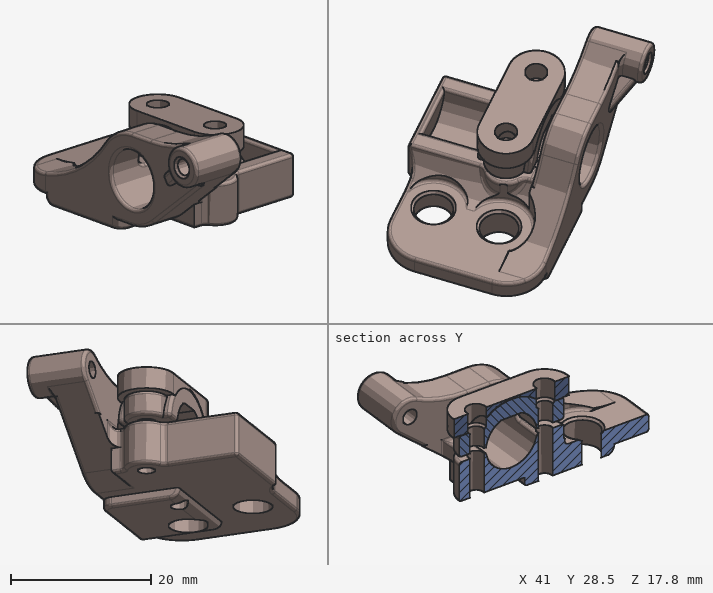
import cadquery as cq
import math


BORE_RADIUS = 4.4
SEAT_RADIUS = 7.0
SPLIT_GAP = 0.8
BOLT_OFFSET = 6.0
BOLT_BOSS_RADIUS = 3.2
BOLT_HOLE_DIAMETER = 2.5
BOLT_RIM_DIAMETER = 3.2
CAP_WIDTH = 8.2
CAP_SHOULDER = 4.0
LINK_THICKNESS = 3.2
EDGE_ROUND = 0.5
SPLIT_HALF = SPLIT_GAP / 2
BOLT_XS = (-BOLT_OFFSET, BOLT_OFFSET)

FOOT_LEFT = -24.03
FOOT_BACK = 13.05
FOOT_TOP = -4.0
FOOT_BOTTOM = -SEAT_RADIUS
FOOT_CORNER = 6.0
ARM_FRONT = -10.7
ARM_BACK = -5.0
ARM_SWEEP = 20.0
ARM_FLAT_END = 3.95
SADDLE_BACK = 14.5
SADDLE_END_WALL = 1.15
SADDLE_SWEEP = 6.0
FLARE_RADIUS = 4.0
INNER_ROUND = 1.0
GUSSET_ROUND = 1.5

PIVOT_X = 14.0
PIVOT_Z = 6.3
PIVOT_RADIUS = 3.0
PIVOT_FRONT = -14.0
PIVOT_HOLE_DIAMETER = 2.4
PIVOT_RIM_DIAMETER = 3.2

RIB_START = 8.2
RIB_END = 2.05
RIB_SLOPE = 0.45
RIB_WIDTH = 2.0
RIB_TILT = 34.0

MOUNT_X = -14.0
MOUNT_YS = (-2.0, 8.0)
MOUNT_HOLE_DIAMETER = 5.6
MOUNT_RIM_DIAMETER = 6.4
SPOTFACE_DIAMETER = 10.25

PAD_LEFT = -18.05
PAD_RIGHT = -2.3
PAD_BACK = 1.45
PAD_BOTTOM = -8.5
PAD_CORNER = 1.75


def y_cylinder(radius, y_start, y_end, x=0.0, z=0.0):
    """Cylinder along Y."""
    return cq.Workplane("XZ", origin=(x, y_start, z)).circle(radius).extrude(y_start - y_end)


def z_cylinder(radius, z_start, z_end, x, y):
    """Upright cylinder."""
    return cq.Workplane("XY", origin=(x, y, z_start)).circle(radius).extrude(z_end - z_start)


def box(x_range, y_range, z_range):
    """Block between two limits on each axis."""
    low, high = zip(x_range, y_range, z_range)
    size = [b - a for a, b in zip(low, high)]
    return cq.Workplane("XY").box(*size, centered=False).translate(low)


def on_circle(center, radius, angle):
    return (center[0] + radius * math.cos(angle), center[1] + radius * math.sin(angle))


def arm_blank():
    """Upright arm: housing around the bore, swept down to the foot and up to the pivot."""
    pivot = (PIVOT_X, PIVOT_Z)
    axis = (0.0, 0.0)

    pivot_angle = math.atan2(PIVOT_Z, PIVOT_X)
    pivot_distance = math.hypot(PIVOT_X, PIVOT_Z)
    under = pivot_angle - math.acos((SEAT_RADIUS - PIVOT_RADIUS) / pivot_distance)

    left_center_z = FOOT_TOP + ARM_SWEEP
    left_center_x = -math.sqrt((SEAT_RADIUS + ARM_SWEEP) ** 2 - left_center_z ** 2)
    left_center = (left_center_x, left_center_z)
    crest_left = math.atan2(left_center_z, left_center_x)
    left_mid = (crest_left - math.pi - math.pi / 2) / 2

    right_center = (ARM_FLAT_END, SEAT_RADIUS + ARM_SWEEP)
    to_pivot = math.atan2(PIVOT_Z - right_center[1], PIVOT_X - right_center[0])
    right_mid = (to_pivot - math.pi / 2) / 2

    profile = (
        cq.Workplane("XZ", origin=(0, ARM_BACK, 0))
        .moveTo(FOOT_LEFT, FOOT_BOTTOM)
        .lineTo(0, FOOT_BOTTOM)
        .threePointArc(on_circle(axis, SEAT_RADIUS, (under - math.pi / 2) / 2),
                       on_circle(axis, SEAT_RADIUS, under))
        .lineTo(*on_circle(pivot, PIVOT_RADIUS, under))
        .threePointArc(on_circle(pivot, PIVOT_RADIUS, pivot_angle),
                       on_circle(pivot, PIVOT_RADIUS, to_pivot + math.pi))
        .threePointArc(on_circle(right_center, ARM_SWEEP, right_mid),
                       (ARM_FLAT_END, SEAT_RADIUS))
        .lineTo(0, SEAT_RADIUS)
        .threePointArc(on_circle(axis, SEAT_RADIUS, (crest_left + math.pi / 2) / 2),
                       on_circle(axis, SEAT_RADIUS, crest_left))
        .threePointArc(on_circle(left_center, ARM_SWEEP, left_mid), (left_center_x, FOOT_TOP))
        .lineTo(FOOT_LEFT, FOOT_TOP)
        .close()
    )
    return profile.extrude(ARM_BACK - ARM_FRONT)


def foot_outline(z_start, z_end, right):
    """Foot plate seen from above, with rounded left corners."""
    blank = box((FOOT_LEFT, right), (ARM_FRONT, FOOT_BACK), (z_start, z_end))
    return blank.edges("|Z and <X").fillet(FOOT_CORNER)


def saddle_blank():
    """Half housing below the bore, with a hollow flank and flare towards the foot."""
    half = SEAT_RADIUS
    flank_run = math.sqrt(SADDLE_SWEEP ** 2 - (SADDLE_SWEEP + FOOT_TOP + SPLIT_HALF) ** 2)
    flank_start = -half - flank_run
    flank_middle_x = -half - flank_run / 2
    flank_middle_z = FOOT_TOP + SADDLE_SWEEP - math.sqrt(SADDLE_SWEEP ** 2 - (flank_run / 2) ** 2)
    section = (
        cq.Workplane("XZ", origin=(0, SADDLE_BACK, 0))
        .moveTo(flank_start, FOOT_BOTTOM)
        .lineTo(half, FOOT_BOTTOM)
        .lineTo(half, -SPLIT_HALF)
        .lineTo(-half, -SPLIT_HALF)
        .threePointArc((flank_middle_x, flank_middle_z), (flank_start, FOOT_TOP))
        .close()
        .extrude(SADDLE_BACK - ARM_BACK)
    )

    step = SADDLE_BACK - FOOT_BACK
    flare_run = math.sqrt(FLARE_RADIUS ** 2 - (FLARE_RADIUS - step) ** 2)
    flare_middle_y = FOOT_BACK + FLARE_RADIUS - math.sqrt(FLARE_RADIUS ** 2 - (flare_run / 2) ** 2)
    plan = (
        cq.Workplane("XY", origin=(0, 0, FOOT_BOTTOM))
        .moveTo(flank_start, ARM_BACK)
        .lineTo(half, ARM_BACK)
        .lineTo(half, SADDLE_BACK)
        .lineTo(-half, SADDLE_BACK)
        .threePointArc((-half - flare_run / 2, flare_middle_y), (-half - flare_run, FOOT_BACK))
        .lineTo(flank_start, FOOT_BACK)
        .close()
        .extrude(-SPLIT_HALF - FOOT_BOTTOM)
    )
    return section.intersect(plan).edges("|Z and >X and >Y").fillet(EDGE_ROUND)


def nearest(body, *points):
    """Edges whose centres lie nearest to the given points."""
    edges = [body.edges(cq.selectors.NearestToPointSelector(point)).val() for point in points]
    return body.newObject(edges)


def bracket_core():
    """Foot, arm, saddle and bolt bosses as one rounded blank."""
    outline = foot_outline(FOOT_BOTTOM, PIVOT_Z + PIVOT_RADIUS, PIVOT_X + PIVOT_RADIUS)
    core = arm_blank().intersect(outline)
    core = core.union(foot_outline(FOOT_BOTTOM, FOOT_TOP, 0)).union(saddle_blank())
    for x in BOLT_XS:
        core = core.union(z_cylinder(BOLT_BOSS_RADIUS, FOOT_BOTTOM, -SPLIT_HALF, x, 0))
    core = core.clean()

    boss_y = math.sqrt(BOLT_BOSS_RADIUS ** 2 - (SEAT_RADIUS - BOLT_OFFSET) ** 2)
    mid_z = (FOOT_BOTTOM - SPLIT_HALF) / 2
    core = nearest(core, (SEAT_RADIUS, ARM_BACK, mid_z / 2)).fillet(GUSSET_ROUND)
    core = nearest(core, (SEAT_RADIUS, -boss_y, mid_z), (SEAT_RADIUS, boss_y, mid_z)).fillet(INNER_ROUND)
    core = nearest(core, (-BOLT_OFFSET - BOLT_BOSS_RADIUS, 0, FOOT_TOP / 2)).fillet(INNER_ROUND)
    core = nearest(core, (0, ARM_BACK, -SPLIT_HALF)).fillet(INNER_ROUND)

    top = core.faces(cq.selectors.NearestToPointSelector((0, SADDLE_BACK / 3, -SPLIT_HALF)))
    core = top.edges("not <Y").fillet(EDGE_ROUND)
    return core.faces("<Z").edges().fillet(EDGE_ROUND)


def arm_back_trim():
    """Material outside the rounded back edge of the arm, above the saddle."""
    blank = arm_blank()
    rounded = blank.faces(">Y").edges().fillet(EDGE_ROUND)
    above = box((FOOT_LEFT, PIVOT_X + PIVOT_RADIUS), (ARM_FRONT, ARM_BACK),
                (INNER_ROUND - SPLIT_HALF, PIVOT_Z + PIVOT_RADIUS))
    return blank.cut(rounded).intersect(above)


def spotface(y):
    """Round clearance above a mounting hole, with a hollow corner at its floor."""
    tool = z_cylinder(SPOTFACE_DIAMETER / 2, FOOT_TOP, SEAT_RADIUS, MOUNT_X, y)
    return tool.faces("<Z").edges().fillet(EDGE_ROUND)


def make_pad():
    """Raised pad under the front of the foot."""
    drop = FOOT_BOTTOM - PAD_BOTTOM
    pad = box((PAD_LEFT, PAD_RIGHT), (ARM_FRONT, PAD_BACK), (PAD_BOTTOM, FOOT_BOTTOM + EDGE_ROUND))
    pad = pad.edges("|Z and >X and <Y").fillet(PAD_CORNER)
    pad = pad.faces("<Z").edges("<X or >Y").fillet(drop)
    return pad.faces("<Z").edges("<Y").fillet(EDGE_ROUND)


def pivot_boss():
    """Round boss at the tip of the arm, with a hollow corner where it leaves the arm."""
    boss = y_cylinder(PIVOT_RADIUS, ARM_BACK - INNER_ROUND, PIVOT_FRONT, PIVOT_X, PIVOT_Z)
    boss = boss.faces("<Y").edges().fillet(EDGE_ROUND)
    collar_radius = PIVOT_RADIUS + EDGE_ROUND
    collar = y_cylinder(collar_radius, ARM_FRONT + EDGE_ROUND, ARM_FRONT - EDGE_ROUND, PIVOT_X, PIVOT_Z)
    groove = (
        cq.Workplane("XY")
        .moveTo(collar_radius, -EDGE_ROUND)
        .circle(EDGE_ROUND)
        .revolve(360, (0, 0), (0, 1))
        .translate((PIVOT_X, ARM_FRONT, PIVOT_Z))
    )
    collar = collar.cut(groove).intersect(arm_blank().translate((0, -EDGE_ROUND, 0)))
    return boss.union(collar)


def pivot_rib():
    """Sloping rib from the front of the arm up the side of the pivot boss."""
    rise = RIB_SLOPE * (RIB_START - RIB_END)
    rib = (
        cq.Workplane("XY")
        .moveTo(-RIB_START, EDGE_ROUND)
        .lineTo(-RIB_START, 0)
        .lineTo(-RIB_END, -rise)
        .lineTo(-RIB_END, EDGE_ROUND)
        .close()
        .extrude(RIB_WIDTH / 2, both=True)
    )
    rib = rib.edges(cq.selectors.BoxSelector((-RIB_START, -rise, -RIB_WIDTH), (-RIB_END, -EDGE_ROUND, RIB_WIDTH)))
    rib = rib.edges("not |Z").fillet(EDGE_ROUND)
    return rib.rotate((0, 0, 0), (0, 1, 0), -RIB_TILT).translate((PIVOT_X, ARM_FRONT, PIVOT_Z))


def rimmed_hole(diameter, rim_diameter, depth):
    """Cutter that goes down from the origin along Z, with a conical rim at its top."""
    rim = (rim_diameter - diameter) / 2
    hole = cq.Workplane("XY").circle(diameter / 2).extrude(-depth)
    cone = cq.Workplane("XY").circle(rim_diameter / 2).workplane(offset=-rim).circle(diameter / 2).loft()
    return hole.union(cone)


def make_bracket():
    bracket = bracket_core().cut(arm_back_trim())
    for y in MOUNT_YS:
        bracket = bracket.cut(spotface(y))
    bracket = bracket.union(make_pad()).union(pivot_boss()).union(pivot_rib())

    bore_end = SADDLE_BACK - SADDLE_END_WALL
    bracket = bracket.cut(y_cylinder(BORE_RADIUS, bore_end, ARM_FRONT))
    bracket = nearest(bracket, (0, ARM_FRONT, 0)).fillet(EDGE_ROUND)
    bracket = nearest(bracket, (BORE_RADIUS, bore_end / 3, -SPLIT_HALF), (-BORE_RADIUS, bore_end / 3, -SPLIT_HALF),
                      (0, bore_end, -SPLIT_HALF)).fillet(EDGE_ROUND)

    for x in BOLT_XS:
        bracket = bracket.cut(z_cylinder(BOLT_HOLE_DIAMETER / 2, PAD_BOTTOM, -SPLIT_HALF, x, 0))
    for y in MOUNT_YS:
        hole = rimmed_hole(MOUNT_HOLE_DIAMETER, MOUNT_RIM_DIAMETER, FOOT_TOP - PAD_BOTTOM)
        bracket = bracket.cut(hole.translate((MOUNT_X, y, FOOT_TOP)))
    pivot_hole = rimmed_hole(PIVOT_HOLE_DIAMETER, PIVOT_RIM_DIAMETER, ARM_BACK - PIVOT_FRONT)
    pivot_hole = pivot_hole.rotate((0, 0, 0), (1, 0, 0), 90)
    return bracket.cut(pivot_hole.translate((PIVOT_X, PIVOT_FRONT, PIVOT_Z)))


def make_cap():
    """Upper bearing half: an arch over the bore with a bolt boss on each side."""
    half_width = CAP_WIDTH / 2
    across = (-half_width, half_width)
    cap = y_cylinder(SEAT_RADIUS, half_width, -half_width)
    cap = cap.intersect(box((-SEAT_RADIUS, SEAT_RADIUS), across, (SPLIT_HALF, SEAT_RADIUS)))
    for x in BOLT_XS:
        cap = cap.union(z_cylinder(BOLT_BOSS_RADIUS, SPLIT_HALF, CAP_SHOULDER, x, 0))

    underside = cap.faces("<Z").edges().vals()
    end_arcs = cap.faces("<Y or >Y").edges("%CIRCLE").vals()
    cap = cap.newObject(underside + end_arcs).fillet(EDGE_ROUND)
    shoulder_arcs = cap.faces("|Z").edges("%CIRCLE and (<X or >X)")
    cap = shoulder_arcs.fillet(EDGE_ROUND)

    bore_room = box((-BORE_RADIUS, BORE_RADIUS), across, (0, CAP_SHOULDER))
    cap = cap.cut(y_cylinder(BORE_RADIUS, half_width, -half_width).intersect(bore_room))

    for x in BOLT_XS:
        hole = rimmed_hole(BOLT_HOLE_DIAMETER, BOLT_RIM_DIAMETER, CAP_SHOULDER)
        clearance = z_cylinder(BOLT_RIM_DIAMETER / 2, CAP_SHOULDER, SEAT_RADIUS, x, 0)
        cap = cap.cut(hole.translate((x, 0, CAP_SHOULDER))).cut(clearance)
    return cap


def make_link(cap):
    """Flat plate over the bolts, hollowed underneath to fit over the cap."""
    link = (
        cq.Workplane("XY", origin=(0, 0, CAP_SHOULDER))
        .slot2D(2 * BOLT_OFFSET + CAP_WIDTH, CAP_WIDTH)
        .extrude(LINK_THICKNESS)
        .faces(">Z")
        .workplane()
        .pushPoints([(x, 0) for x in BOLT_XS])
        .hole(BOLT_RIM_DIAMETER)
    )
    return link.cut(cap)


bracket = make_bracket()
cap = make_cap()
link = make_link(cap)
result = cq.Compound.makeCompound([bracket.val(), cap.val(), link.val()])